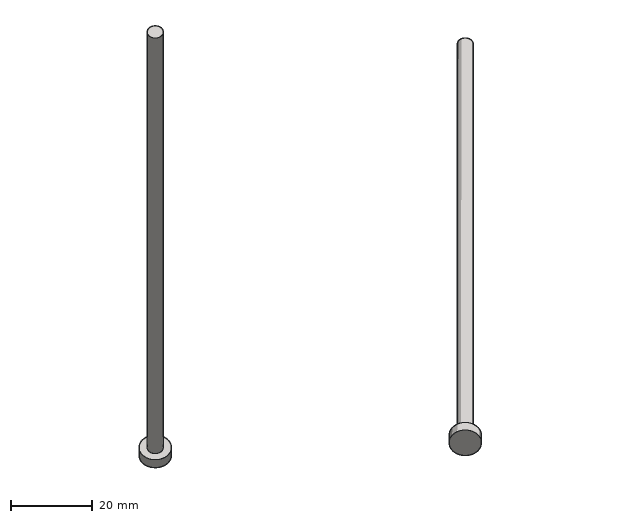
import cadquery as cq

total_length = 160.0
head_diameter = 8.0
head_height = 3.0
shank_diameter = 4.0

head = cq.Workplane("XY").circle(head_diameter / 2).extrude(head_height)
shank = cq.Workplane("XY").circle(shank_diameter / 2).extrude(total_length)

result = head.union(shank)